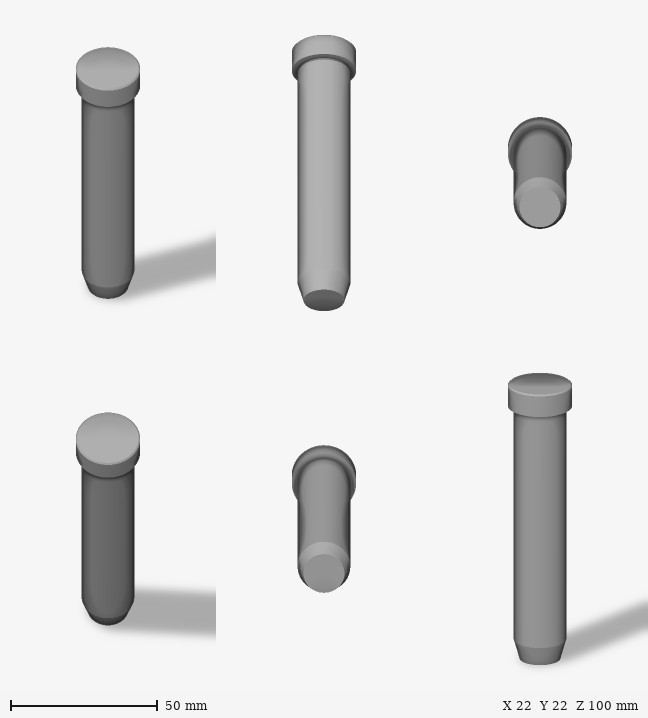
import cadquery as cq

total_length = 100.0
head_diameter = 22.0
head_height = 8.0
head_chamfer = 0.5
shank_diameter = 18.0

groove_width = 0.5
groove_depth = 0.5

tip_diameter = 14.0
tip_length = 7.0

head_radius = head_diameter / 2
shank_radius = shank_diameter / 2
groove_radius = shank_radius - groove_depth
tip_radius = tip_diameter / 2
head_bottom = total_length - head_height
groove_bottom = head_bottom - groove_width

half_section = (
    cq.Workplane("XZ")
    .moveTo(0, 0)
    .lineTo(tip_radius, 0)
    .lineTo(shank_radius, tip_length)
    .lineTo(shank_radius, groove_bottom - groove_depth)
    .lineTo(groove_radius, groove_bottom)
    .lineTo(groove_radius, head_bottom)
    .lineTo(head_radius, head_bottom)
    .lineTo(head_radius, total_length)
    .lineTo(0, total_length)
    .close()
)

pin = half_section.revolve(360, (0, 0, 0), (0, 1, 0))

result = pin.faces(">Z").edges().chamfer(head_chamfer)